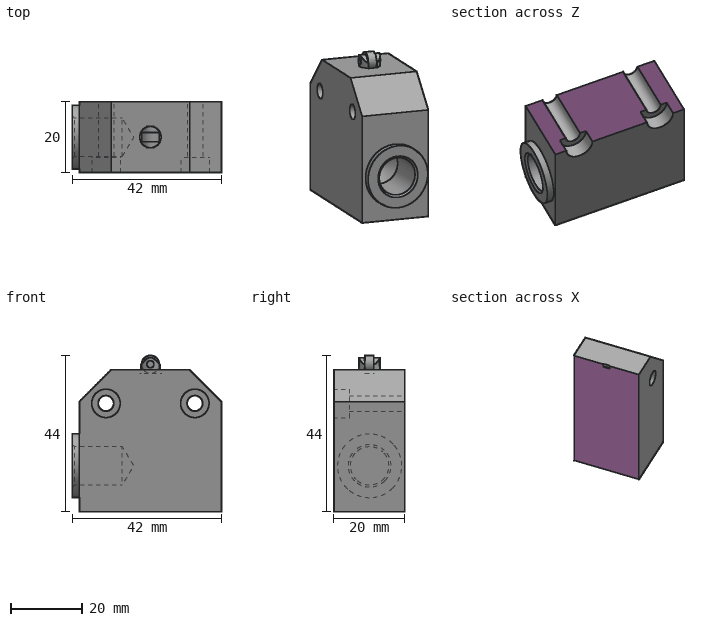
import cadquery as cq
import math

BODY_LENGTH = 40.0
BODY_WIDTH = 20.0
BODY_HEIGHT = 40.0
CORNER_CUT = 9.0

COVER_THICKNESS = 3.0
GASKET_THICKNESS = 0.5

MOUNT_SPACING = 25.0
MOUNT_HEIGHT = 30.5
MOUNT_DIAMETER = 4.3
COUNTERBORE_DIAMETER = 8.0
COUNTERBORE_DEPTH = 4.3

ENTRY_HEIGHT = 13.0
COLLAR_DIAMETER = 18.0
COLLAR_LENGTH = 2.0
ENTRY_BORE_DIAMETER = 10.8
ENTRY_MOUTH_DIAMETER = 12.0
ENTRY_BORE_DEPTH = 14.0
DRILL_POINT_ANGLE = 118.0

PLUNGER_DIAMETER = 6.0
AXLE_ABOVE_TOP = 1.5
AXLE_DIAMETER = 2.0
ROLLER_DIAMETER = 5.0
ROLLER_WIDTH = 2.5
SLOT_WIDTH = 2.6
EAR_RADIUS = 1.85
EAR_FLANK_ANGLE = 45.0

MID_X = BODY_LENGTH / 2
HOUSING_BOTTOM = COVER_THICKNESS + GASKET_THICKNESS
AXLE_HEIGHT = BODY_HEIGHT + AXLE_ABOVE_TOP
SLOT_FLOOR = AXLE_HEIGHT - ROLLER_DIAMETER / 2


def cylinder_along_y(diameter, length, x, z):
    """Cylinder parallel to Y and centred on y = 0."""
    return (
        cq.Workplane("XZ", origin=(x, length / 2, z))
        .circle(diameter / 2)
        .extrude(length)
    )


def box_between(x_size, y_size, z_low, z_high):
    """Box centred on the middle of the housing in X and Y."""
    return (
        cq.Workplane("XY", origin=(MID_X, 0, z_low))
        .rect(x_size, y_size)
        .extrude(z_high - z_low)
    )


def housing():
    """Block above the gasket with both upper corners cut off."""
    return (
        box_between(BODY_LENGTH, BODY_WIDTH, HOUSING_BOTTOM, BODY_HEIGHT)
        .edges("|Y and >Z")
        .chamfer(CORNER_CUT)
    )


def mounting_hole(x):
    """Through hole along Y with a counterbore on the -Y face."""
    hole = cylinder_along_y(MOUNT_DIAMETER, BODY_WIDTH, x, MOUNT_HEIGHT)
    counterbore = (
        cq.Workplane("XZ", origin=(x, -BODY_WIDTH / 2, MOUNT_HEIGHT))
        .circle(COUNTERBORE_DIAMETER / 2)
        .extrude(-COUNTERBORE_DEPTH)
    )
    return hole.union(counterbore)


def entry_collar():
    """Round collar standing out from the -X end."""
    return (
        cq.Workplane("YZ", origin=(-COLLAR_LENGTH, 0, ENTRY_HEIGHT))
        .circle(COLLAR_DIAMETER / 2)
        .extrude(COLLAR_LENGTH)
    )


def entry_bore():
    """Blind drilled bore with a 45 degree countersunk mouth and a conical bottom."""
    bore_radius = ENTRY_BORE_DIAMETER / 2
    mouth_radius = ENTRY_MOUTH_DIAMETER / 2
    mouth_x = -COLLAR_LENGTH
    bore_end = mouth_x + ENTRY_BORE_DEPTH
    point_length = bore_radius / math.tan(math.radians(DRILL_POINT_ANGLE / 2))
    return (
        cq.Workplane("XZ", origin=(0, 0, ENTRY_HEIGHT))
        .moveTo(mouth_x, 0)
        .lineTo(mouth_x, mouth_radius)
        .lineTo(mouth_x + mouth_radius - bore_radius, bore_radius)
        .lineTo(bore_end, bore_radius)
        .lineTo(bore_end + point_length, 0)
        .close()
        .revolve(360, (0, 0, 0), (1, 0, 0))
    )


def ear_profile():
    """Ear outline across Y: a round top running out into two straight sloping flanks."""
    angle = math.radians(EAR_FLANK_ANGLE)
    tangent_x = EAR_RADIUS * math.sin(angle)
    tangent_z = EAR_RADIUS * math.cos(angle)
    edge_x = PLUNGER_DIAMETER / 2
    edge_z = tangent_z - (edge_x - tangent_x) * math.tan(angle)
    floor_z = SLOT_FLOOR - AXLE_HEIGHT
    return (
        cq.Workplane("XZ", origin=(MID_X, PLUNGER_DIAMETER / 2, AXLE_HEIGHT))
        .moveTo(-edge_x, floor_z)
        .lineTo(-edge_x, edge_z)
        .lineTo(-tangent_x, tangent_z)
        .threePointArc((0, EAR_RADIUS), (tangent_x, tangent_z))
        .lineTo(edge_x, edge_z)
        .lineTo(edge_x, floor_z)
        .close()
        .extrude(PLUNGER_DIAMETER)
    )


def plunger_blank():
    """Plain round plunger from the slot floor to above the ears."""
    return (
        cq.Workplane("XY", origin=(MID_X, 0, SLOT_FLOOR))
        .circle(PLUNGER_DIAMETER / 2)
        .extrude(AXLE_HEIGHT + EAR_RADIUS - SLOT_FLOOR)
    )


def plunger_slot():
    """Slot for the roller, sunk below the top face inside the plunger diameter."""
    slot = box_between(PLUNGER_DIAMETER, SLOT_WIDTH, SLOT_FLOOR, AXLE_HEIGHT + EAR_RADIUS)
    return slot.intersect(plunger_blank())


def roller_on_axle():
    """Roller and its axle, which ends at the plunger diameter."""
    roller = cylinder_along_y(ROLLER_DIAMETER, ROLLER_WIDTH, MID_X, AXLE_HEIGHT)
    axle = cylinder_along_y(AXLE_DIAMETER, PLUNGER_DIAMETER, MID_X, AXLE_HEIGHT)
    return roller.union(axle)


result = housing().union(entry_collar()).cut(entry_bore())
for side in (-1, 1):
    result = result.cut(mounting_hole(MID_X + side * MOUNT_SPACING / 2))
result = result.union(ear_profile().intersect(plunger_blank()))
result = result.cut(plunger_slot()).union(roller_on_axle())

gasket = box_between(BODY_LENGTH, BODY_WIDTH, COVER_THICKNESS, HOUSING_BOTTOM)
cover = box_between(BODY_LENGTH, BODY_WIDTH, 0, COVER_THICKNESS)
result = result.union(gasket, clean=False).union(cover, clean=False)